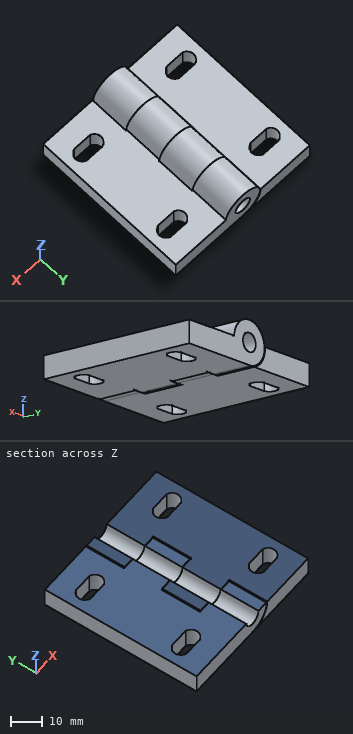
import cadquery as cq

length = 60.3
leaf_width = 30.15
leaf_thickness = 8.0

barrel_diameter = 15.25
barrel_radius = barrel_diameter / 2
axis_height = barrel_radius
pin_hole_diameter = 6.45
knuckle_gap = 0.35
clearance_radius = barrel_radius + knuckle_gap
knuckle_count = 4
knuckle_length = length / knuckle_count

slot_length = 11.35
slot_straight_length = 7.1
slot_width = 5.6
slot_offset_x = 20.8
slot_offset_y = 19.05


def axis_cylinder(radius, start_y, cylinder_length):
    """Cylinder on the hinge axis, running from start_y toward +Y."""
    base = cq.Vector(0, start_y, axis_height)
    return cq.Workplane(cq.Solid.makeCylinder(radius, cylinder_length, base, cq.Vector(0, 1, 0)))


def knuckle_start(index):
    return -length / 2 + index * knuckle_length


def make_slot(center_x, center_y):
    """Slot along X with straight sides and bowed ends, slightly flatter than semicircles."""
    half_straight = slot_straight_length / 2
    half_length = slot_length / 2
    half_width = slot_width / 2
    return (
        cq.Workplane("XY", origin=(center_x, center_y, 0))
        .moveTo(-half_straight, -half_width)
        .lineTo(half_straight, -half_width)
        .threePointArc((half_length, 0), (half_straight, half_width))
        .lineTo(-half_straight, half_width)
        .threePointArc((-half_length, 0), (-half_straight, -half_width))
        .close()
        .extrude(leaf_thickness)
    )


def make_leaf(side, first_knuckle):
    """Leaf on the -X (side = -1) or +X (side = 1) side, with every second knuckle."""
    leaf = cq.Workplane("XY").box(leaf_width, length, leaf_thickness, centered=(True, True, False))
    leaf = leaf.translate((side * leaf_width / 2, 0, 0))

    for index in range(first_knuckle, knuckle_count, 2):
        leaf = leaf.union(axis_cylinder(barrel_radius, knuckle_start(index), knuckle_length))

    for index in range(1 - first_knuckle, knuckle_count, 2):
        leaf = leaf.cut(axis_cylinder(clearance_radius, knuckle_start(index), knuckle_length))

    pin_hole = axis_cylinder(pin_hole_diameter / 2, -length / 2, length)
    leaf = leaf.cut(pin_hole)

    for slot_y in (-slot_offset_y, slot_offset_y):
        leaf = leaf.cut(make_slot(side * slot_offset_x, slot_y))
    return leaf


left_leaf = make_leaf(side=-1, first_knuckle=0)
right_leaf = make_leaf(side=1, first_knuckle=1)

result = cq.Compound.makeCompound([left_leaf.val(), right_leaf.val()])